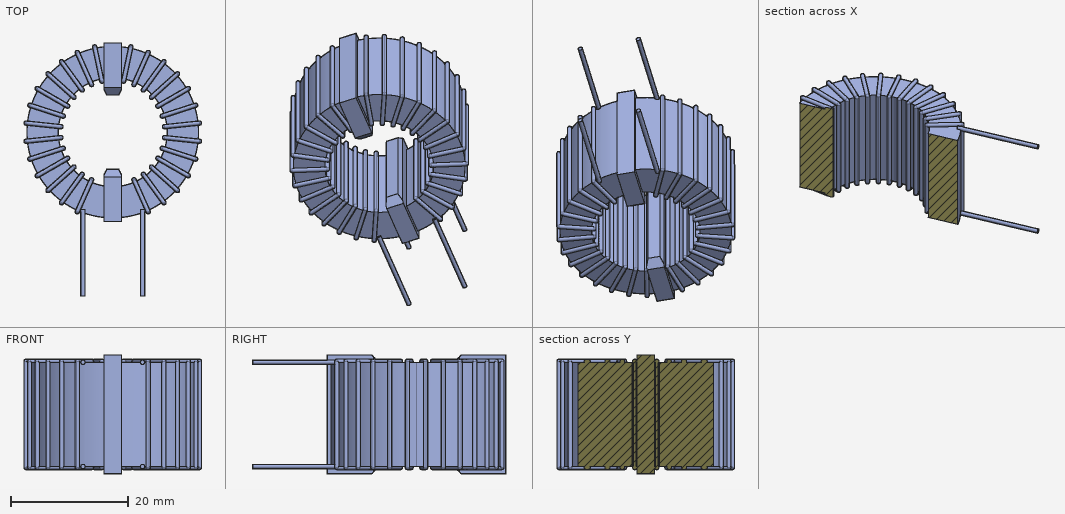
import cadquery as cq

core_outer_radius = 14.65
core_inner_radius = 9.27
core_half_height = 8.89

wire_diameter = 0.762
wire_radius = wire_diameter / 2
winding_outer_radius = 15.24
winding_half_height = 9.44
turn_outer_radius = winding_outer_radius - wire_radius
turn_inner_radius = 8.89
turn_half_height = winding_half_height - wire_radius
turn_pitch = 12.0
turns_per_side = 13
first_turn_angle = -66.0

lead_x = 5.08
lead_z = core_half_height
lead_root_y = -13.2
lead_length_past_bars = 12.7

bar_width = 3.048
bar_half_height = 10.16
bar_outer_y = winding_outer_radius
bar_inner_y = 6.3
nose_depth = 1.36
nose_drop = nose_depth
nose_side_depth = 1.0
nose_side_inset = 0.5

lead_tip_y = -(bar_outer_y + lead_length_past_bars)


def make_core():
    base = cq.Workplane("XY").workplane(offset=-core_half_height)
    ring = base.circle(core_outer_radius).circle(core_inner_radius)
    return ring.extrude(2 * core_half_height).val()


def rod(start, end):
    axis = end - start
    return cq.Solid.makeCylinder(wire_radius, axis.Length, start, axis)


def ball(center):
    full_ball = cq.Workplane("XY").sphere(wire_radius)
    return full_ball.translate(center.toTuple()).val()


def make_turn(angle):
    """One rectangular wire loop in the XZ plane, with ball corners, turned about Z."""
    corners = [
        cq.Vector(turn_inner_radius, 0, -turn_half_height),
        cq.Vector(turn_outer_radius, 0, -turn_half_height),
        cq.Vector(turn_outer_radius, 0, turn_half_height),
        cq.Vector(turn_inner_radius, 0, turn_half_height),
    ]
    pieces = []
    for index, corner in enumerate(corners):
        pieces.append(rod(corner, corners[(index + 1) % len(corners)]))
        pieces.append(ball(corner))
    loop = pieces[0].fuse(*pieces[1:])
    return loop.rotate(cq.Vector(0, 0, 0), cq.Vector(0, 0, 1), angle)


def turn_angles():
    """Evenly spaced angles on the +X side, then their mirror images on the -X side."""
    right_side = [first_turn_angle + turn_pitch * index for index in range(turns_per_side)]
    left_side = [180 - angle for angle in right_side]
    return right_side + left_side


def make_lead(x, z):
    return rod(cq.Vector(x, lead_root_y, z), cq.Vector(x, lead_tip_y, z))


def make_bar():
    """Bar on the +Y side: the side outline crossed with the plan outline."""
    side_outline = [
        (bar_outer_y, -bar_half_height),
        (bar_outer_y, bar_half_height),
        (bar_inner_y + nose_depth, bar_half_height),
        (bar_inner_y, bar_half_height - nose_drop),
        (bar_inner_y, nose_drop - bar_half_height),
        (bar_inner_y + nose_depth, -bar_half_height),
    ]
    side = cq.Workplane("YZ").polyline(side_outline).close().extrude(bar_width / 2, both=True)

    half_width = bar_width / 2
    tip_half_width = half_width - nose_side_inset
    plan_outline = [
        (half_width, bar_outer_y),
        (half_width, bar_inner_y + nose_side_depth),
        (tip_half_width, bar_inner_y),
        (-tip_half_width, bar_inner_y),
        (-half_width, bar_inner_y + nose_side_depth),
        (-half_width, bar_outer_y),
    ]
    plan = cq.Workplane("XY").polyline(plan_outline).close().extrude(bar_half_height, both=True)
    return side.intersect(plan)


core = make_core()
turns = [make_turn(angle) for angle in turn_angles()]
leads = [make_lead(x, z) for x in (-lead_x, lead_x) for z in (-lead_z, lead_z)]
bar = make_bar()
bars = [bar.val(), bar.mirror("XZ").val()]
choke = core.fuse(*turns, *leads, *bars)
result = cq.Workplane(choke.Solids()[0])